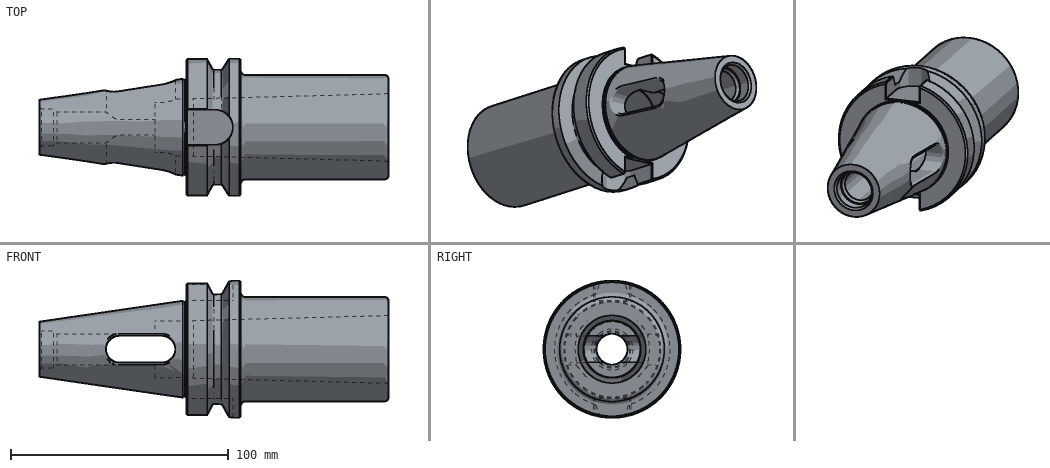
import cadquery as cq
total_length = 160.4

taper_length = 65.8
taper_ratio = 7 / 24
taper_small_radius = 12.7
taper_large_radius = taper_small_radius + taper_length * taper_ratio / 2
undercut_radius = 21.8
undercut_fillet = 0.5

flange_front = 67.4
flange_back = 92.5
flange_radius = 63.0 / 2
front_ring_radius = 31.5
front_ring_back = 77.0
ring_chamfer = 0.8
groove_radius = 26.5
groove_start = 79.7
groove_end = 83.9
groove_root_fillet = 0.5
rear_ring_start = 87.1

body_radius = 24.0
body_root_fillet = 2.0
body_end_fillet = 2.1

keyway_width = 16.0
keyway_floor = 22.5
keyway_end = 88.9
keyway_chamfer = 0.5

slot_start = 30.6
slot_end = 62.4
slot_height = 12.2
slot_edge_fillet = 0.8

pilot_radius = 8.5
pilot_mouth_radius = 9.5
pilot_chamfer_depth = 1.0
pilot_depth = 6.4
countersink_radius = 8.0
countersink_depth = 1.6
drawbar_hole_radius = 7.0

socket_mouth_radius = 15.5
socket_taper_ratio = 1 / 19.254
socket_taper_end = 70.5
socket_inner_radius = socket_mouth_radius - (total_length - socket_taper_end) * socket_taper_ratio / 2
relief_radius = 13.0
socket_floor = 53.1

pick_margin = 0.08


def outer_body():
    """Taper, flange and rear body as one turned solid."""
    return (
        cq.Workplane("XZ")
        .lineTo(0, taper_small_radius)
        .lineTo(taper_length, taper_large_radius)
        .lineTo(taper_length, undercut_radius)
        .lineTo(flange_front - undercut_fillet, undercut_radius)
        .radiusArc((flange_front, undercut_radius + undercut_fillet), -undercut_fillet)
        .lineTo(flange_front, front_ring_radius - ring_chamfer)
        .lineTo(flange_front + ring_chamfer, front_ring_radius)
        .lineTo(front_ring_back, front_ring_radius)
        .lineTo(groove_start, groove_radius)
        .lineTo(groove_end, groove_radius)
        .lineTo(rear_ring_start, flange_radius)
        .lineTo(flange_back - ring_chamfer, flange_radius)
        .lineTo(flange_back, flange_radius - ring_chamfer)
        .lineTo(flange_back, body_radius + body_root_fillet)
        .radiusArc((flange_back + body_root_fillet, body_radius), -body_root_fillet)
        .lineTo(total_length - body_end_fillet, body_radius)
        .radiusArc((total_length, body_radius - body_end_fillet), body_end_fillet)
        .lineTo(total_length, 0)
        .close()
        .revolve(360, (0, 0, 0), (1, 0, 0))
    )


def edges_between(low_corner, high_corner):
    """Selector for edges whose centres lie in the box between two corners."""
    return cq.selectors.BoxSelector(low_corner, high_corner)


def round_groove_roots(body):
    """Fillet both inner corners of the gripper groove."""
    for corner_x in (groove_start, groove_end):
        corner = edges_between(
            (corner_x - pick_margin, -flange_radius, -flange_radius),
            (corner_x + pick_margin, flange_radius, flange_radius),
        )
        body = body.edges(corner).fillet(groove_root_fillet)
    return body


def cut_drift_slot(body):
    """Obround slot through the taper, with rounded rims on both sides."""
    slot = (
        cq.Workplane("XZ", origin=((slot_start + slot_end) / 2, 0, 0))
        .slot2D(slot_end - slot_start, slot_height)
        .extrude(flange_radius, both=True)
    )
    body = body.cut(slot)
    for side in (1, -1):
        rim = edges_between(
            (slot_start - pick_margin, side * taper_small_radius, -slot_height),
            (slot_end + pick_margin, side * flange_radius, slot_height),
        )
        body = body.edges(rim).fillet(slot_edge_fillet)
    return body


def cut_keyway(body, side):
    """Round-ended keyway, chamfered at the front ring; side is +1 for +Z, -1 for -Z."""
    half_width = keyway_width / 2
    straight_end = keyway_end - half_width
    cutter = (
        cq.Workplane("XY", origin=(0, 0, side * keyway_floor))
        .moveTo(flange_front, -half_width)
        .lineTo(straight_end, -half_width)
        .threePointArc((keyway_end, 0), (straight_end, half_width))
        .lineTo(flange_front, half_width)
        .close()
        .extrude(side * flange_radius)
    )
    body = body.cut(cutter)

    front_rim = edges_between(
        (flange_front - pick_margin, -half_width - pick_margin, side * (keyway_floor - pick_margin)),
        (flange_front + pick_margin, half_width + pick_margin, side * flange_radius),
    )
    top_rim = edges_between(
        (flange_front + pick_margin, -half_width - pick_margin, side * (keyway_floor + pick_margin)),
        (front_ring_back - pick_margin, half_width + pick_margin, side * flange_radius),
    )
    return body.edges(front_rim + top_rim).chamfer(keyway_chamfer)


def through_bore():
    """Front pilot, drawbar hole and rear Morse socket as one turned cutter."""
    outline = [
        (0, 0),
        (0, pilot_mouth_radius),
        (pilot_chamfer_depth, pilot_radius),
        (pilot_depth, pilot_radius),
        (pilot_depth, countersink_radius),
        (pilot_depth + countersink_depth, drawbar_hole_radius),
        (socket_floor, drawbar_hole_radius),
        (socket_floor, relief_radius),
        (socket_taper_end, relief_radius),
        (socket_taper_end, socket_inner_radius),
        (total_length, socket_mouth_radius),
        (total_length, 0),
    ]
    return cq.Workplane("XZ").polyline(outline).close().revolve(360, (0, 0, 0), (1, 0, 0))


result = round_groove_roots(outer_body())
result = cut_drift_slot(result)
for keyway_side in (1, -1):
    result = cut_keyway(result, keyway_side)
result = result.cut(through_bore())